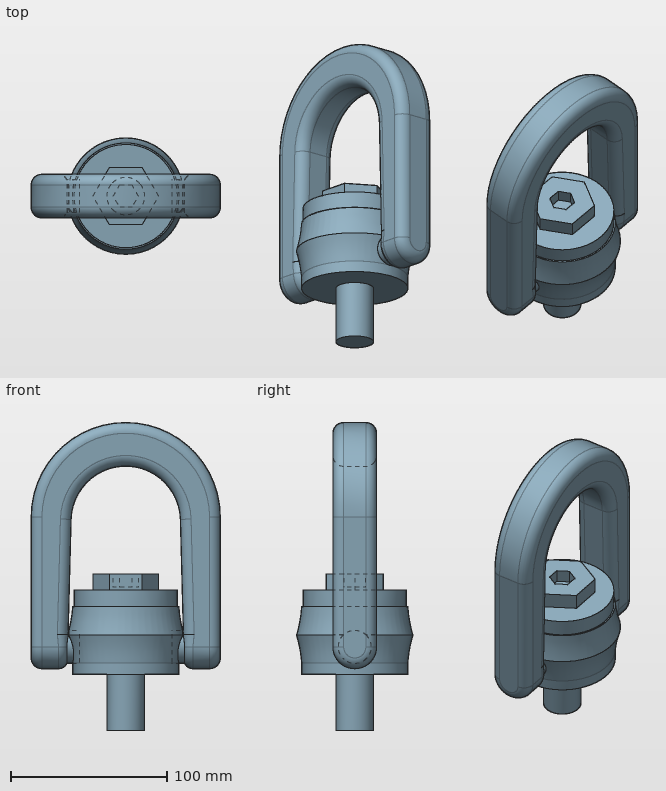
import cadquery as cq
import math


base_bottom = 36.0
barrel_bottom = 43.1
barrel_ridge = 61.0
barrel_top = 79.4
cap_top = 90.0
hex_top = 100.3

bolt_diameter = 24.0
base_diameter = 68.0
ridge_diameter = 74.5
cap_diameter = 66.0
flank_radius = 78.8

hex_across_flats = 36.5
socket_across_flats = 14.0
socket_depth = 8.5

overall_height = 197.0
shackle_width = 121.0
shackle_thickness = 28.0
crown_thickness = 28.0
inner_arch_radius = 34.9
leg_taper = math.radians(1.5)
edge_radius = 6.9

outer_arch_radius = shackle_width / 2
outer_arch_z = overall_height - outer_arch_radius
inner_arch_z = overall_height - crown_thickness - inner_arch_radius

trunnion_z = 53.5
trunnion_diameter = 21.0
trunnion_tip_x = 29.5

leg_bottom = 61.5
eye_inner_x = 37.0
eye_inner_edge_radius = 6.0


def hexagon(across_flats, bottom, height):
    """Upright hexagonal prism with two corners on the X axis."""
    across_corners = across_flats / math.cos(math.pi / 6)
    return cq.Workplane("XY").workplane(offset=bottom).polygon(6, across_corners).extrude(height)


def make_swivel_body():
    base_radius = base_diameter / 2
    ridge_radius = ridge_diameter / 2
    cap_radius = cap_diameter / 2
    bolt_radius = bolt_diameter / 2
    turned = (
        cq.Workplane("XZ")
        .moveTo(0, 0)
        .lineTo(bolt_radius, 0)
        .lineTo(bolt_radius, base_bottom)
        .lineTo(base_radius, base_bottom)
        .lineTo(base_radius, barrel_bottom)
        .radiusArc((ridge_radius, barrel_ridge), flank_radius)
        .radiusArc((base_radius, barrel_top), flank_radius)
        .lineTo(cap_radius, barrel_top)
        .lineTo(cap_radius, cap_top)
        .lineTo(0, cap_top)
        .close()
        .revolve(360, (0, 0, 0), (0, 1, 0))
    )
    head = hexagon(hex_across_flats, cap_top, hex_top - cap_top)
    socket = hexagon(socket_across_flats, hex_top - socket_depth, socket_depth)
    return turned.union(head).cut(socket)


def leg_inner_x(z):
    """Distance of the tapered inner leg face from the bolt axis at height z."""
    return (inner_arch_radius + (inner_arch_z - z) * math.sin(leg_taper)) / math.cos(leg_taper)


def make_bow():
    """Arch and tapered legs, with all long edges rounded."""
    leg_x = leg_inner_x(leg_bottom)
    tangent_x = inner_arch_radius * math.cos(leg_taper)
    tangent_z = inner_arch_z + inner_arch_radius * math.sin(leg_taper)
    bow = (
        cq.Workplane("XZ")
        .moveTo(-outer_arch_radius, leg_bottom)
        .lineTo(-outer_arch_radius, outer_arch_z)
        .threePointArc((0, overall_height), (outer_arch_radius, outer_arch_z))
        .lineTo(outer_arch_radius, leg_bottom)
        .lineTo(leg_x, leg_bottom)
        .lineTo(tangent_x, tangent_z)
        .threePointArc((0, inner_arch_z + inner_arch_radius), (-tangent_x, tangent_z))
        .lineTo(-leg_x, leg_bottom)
        .close()
        .extrude(shackle_thickness / 2, both=True)
    )
    return bow.faces("<Y or >Y").edges("not <Z").fillet(edge_radius)


def leg_half_section(plane, inner_x, inner_radius):
    """Half of the leg cross-section, on the positive side of local Y = 0."""
    half = shackle_thickness / 2
    outer_x = outer_arch_radius
    return (
        plane.moveTo(inner_x, 0)
        .lineTo(inner_x, half - inner_radius)
        .radiusArc((inner_x + inner_radius, half), inner_radius)
        .lineTo(outer_x - edge_radius, half)
        .radiusArc((outer_x, half - edge_radius), edge_radius)
        .lineTo(outer_x, 0)
        .close()
    )


def make_leg_end():
    """Rounded eye of the +X leg, its transition to the leg, and its trunnion."""
    leg_plane = cq.Workplane("XY").workplane(offset=leg_bottom)
    leg_section = leg_half_section(leg_plane, leg_inner_x(leg_bottom), edge_radius)
    eye_plane = leg_section.workplane(offset=trunnion_z - leg_bottom)
    half_transition = leg_half_section(eye_plane, eye_inner_x, eye_inner_edge_radius).loft(ruled=True)
    transition = half_transition.union(half_transition.mirror("XZ"))

    eye_section_plane = cq.Workplane("XY").workplane(offset=trunnion_z)
    eye_section = leg_half_section(eye_section_plane, eye_inner_x, eye_inner_edge_radius)
    eye = eye_section.revolve(180, (0, 0, 0), (-1, 0, 0))

    trunnion_root_x = (eye_inner_x + outer_arch_radius) / 2
    trunnion = (
        cq.Workplane("YZ", origin=(trunnion_tip_x, 0, trunnion_z))
        .circle(trunnion_diameter / 2)
        .extrude(trunnion_root_x - trunnion_tip_x)
    )
    return transition.union(eye).union(trunnion)


def make_shackle():
    leg_end = make_leg_end()
    return make_bow().union(leg_end).union(leg_end.mirror("YZ"))


shackle = make_shackle()

swivel_body = make_swivel_body().cut(shackle)

result = cq.Compound.makeCompound([swivel_body.solids().val(), shackle.solids().val()])